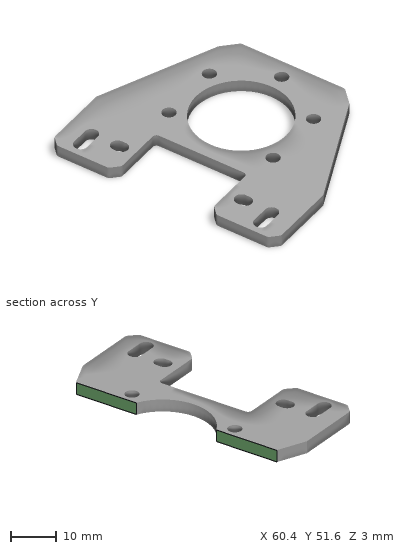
import cadquery as cq

width = 60.4
depth = 51.65
thickness = 3.0
half_width = width / 2
corner_radius = 1.0

shoulder_y = 18.7
taper_end_x = 17.45
top_chamfer = 3.6
foot_chamfer = 2.1
notch_half_width = 12.25
notch_depth = 15.35

bore_diameter = 24.0
bore_y = 31.15
bolt_circle_radius = 16.0
bolt_angles = (-30, 30, 90, 150, 210)
hole_diameter = 3.4

long_slot_x = 24.0
long_slot_y = 5.4
long_slot_length = 7.7
short_slot_x = 16.5
short_slot_y = 7.5
short_slot_length = 4.4


def make_plate():
    top_half_width = taper_end_x - top_chamfer
    taper_end = (taper_end_x, depth - top_chamfer)
    top_corner = (top_half_width, depth)
    notch_corner = (notch_half_width, notch_depth)
    foot_corners = [
        (notch_half_width, foot_chamfer),
        (notch_half_width + foot_chamfer, 0),
        (half_width - foot_chamfer, 0),
        (half_width, foot_chamfer),
    ]
    right_side = [notch_corner, *foot_corners, (half_width, shoulder_y), taper_end, top_corner]
    left_side = [(-x, y) for x, y in reversed(right_side)]
    plate = cq.Workplane("XY").polyline(right_side + left_side).close().extrude(thickness)

    for x, y in [notch_corner, *foot_corners, taper_end, top_corner]:
        for side in (-1, 1):
            corner = cq.selectors.NearestToPointSelector((side * x, y, thickness / 2))
            plate = plate.edges("|Z").edges(corner).fillet(corner_radius)
    return plate


def cut_bore_and_bolt_holes(plate):
    center = cq.Workplane("XY", origin=(0, bore_y, 0))
    plate = plate.cut(center.circle(bore_diameter / 2).extrude(thickness))
    for angle in bolt_angles:
        bolt = center.polarArray(bolt_circle_radius, angle, 360, 1)
        plate = plate.cut(bolt.circle(hole_diameter / 2).extrude(thickness))
    return plate


def cut_slot_pair(plate, x, y, length, angle):
    slots = (
        cq.Workplane("XY")
        .pushPoints([(-x, y), (x, y)])
        .slot2D(length, hole_diameter, angle)
        .extrude(thickness)
    )
    return plate.cut(slots)


result = make_plate()
result = cut_bore_and_bolt_holes(result)
result = cut_slot_pair(result, long_slot_x, long_slot_y, long_slot_length, 90)
result = cut_slot_pair(result, short_slot_x, short_slot_y, short_slot_length, 0)